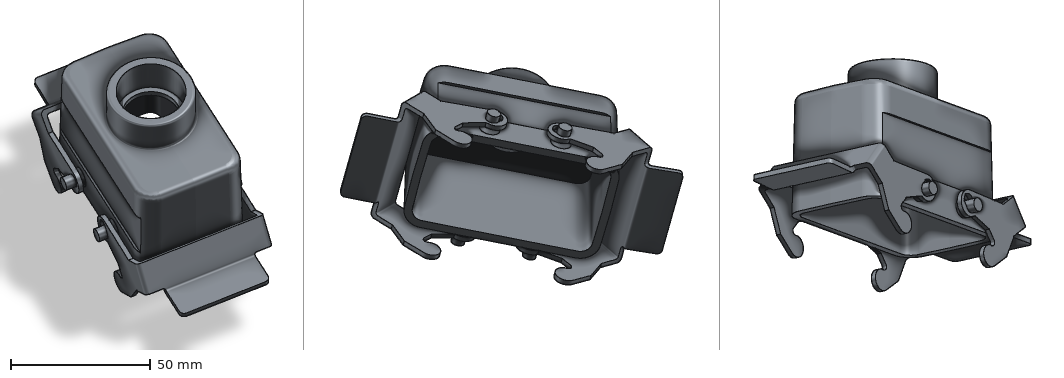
import cadquery as cq
import math


HOOD_HALF_X = 36.4
HOOD_HALF_Y = 21.6
HOOD_HEIGHT = 45.3
DRAFT = 1.0
CORNER_RADIUS = 7.5
ROOF_EDGE_RADIUS = 3.0
WALL = 3.0
ROOF_THICKNESS = 2.4
CAVITY_HEIGHT = HOOD_HEIGHT - ROOF_THICKNESS

LABEL_DEPTH = 1.0
LABEL_BOTTOM = 12.7
LABEL_TOP = 31.7

SPOUT_DIAMETER = 32.0
SPOUT_TOP = 58.5
SPOUT_RIM_RADIUS = 1.2
SPOUT_FOOT_RADIUS = 1.0
BORE_DIAMETER = 25.0
BORE_BOTTOM = 44.9
PASSAGE_DIAMETER = 21.0

PIN_DIAMETER = 5.0
PIN_X = 13.2
PIN_Z = 6.2
PIN_END_Y = 28.6
BOSS_DIAMETER = 7.6
BOSS_END_Y = 23.1

SHEET = 1.9
LEVER_WIDTH = 51.1
LEVER_SHIFT_Y = 0.2
OUTER_BEND_RADIUS = 1.9
INNER_BEND_RADIUS = 1.2
WEB_OUTER_U = 26.9
WEB_TOP_V = -7.1
WEB_BOTTOM_V = -19.2
SLOT_TRAVEL = 2.4
EYE_RADIUS = 5.0
EYE_CENTER = (0, SLOT_TRAVEL / 2)
UPPER_ELBOW = (18.4, WEB_TOP_V)
LOWER_ELBOW = (17.2, WEB_BOTTOM_V)
HEEL = (8.4, -23.7)
THROAT = (5.0, -11.3)
HOOK_CENTER = (-0.2, -19.6)
HOOK_RADIUS = 4.0
NOTCH_DIAMETER = 3.0
NOTCH_RADIUS = NOTCH_DIAMETER / 2
NOTCH_ANGLE = 44.0

HANDLE_WIDTH = 35.8
HANDLE_LENGTH = 12.5
HANDLE_NECK = 1.01
HANDLE_ANGLE = -36.5
HANDLE_CORNER_RADIUS = 2.0
HANDLE_BEND_RADIUS = 1.8
HANDLE_ROOT_RADIUS = 1.0

RIGHT_LEVER_TILT = 36.5
LEFT_LEVER_TILT = 40.0

SELECT_MARGIN = 0.1


def polar(center, radius, angle):
    """Point at a distance and a direction in degrees from a centre."""
    turn = math.radians(angle)
    return (center[0] + radius * math.cos(turn), center[1] + radius * math.sin(turn))


def tangent_point(center, radius, point, side):
    """Point where the line from an outside point touches a circle; side is +1 or -1."""
    du = point[0] - center[0]
    dv = point[1] - center[1]
    direction = math.degrees(math.atan2(dv, du))
    opening = math.degrees(math.acos(radius / math.hypot(du, dv)))
    return polar(center, radius, direction + side * opening)


def drafted_block(half_x, half_y, height, corner_radius, rim_radius=0):
    """Tapered block with a ridged roof and end faces that fall back from the middle plane."""
    slope = math.tan(math.radians(DRAFT))
    corner_x = half_x - half_y * slope
    plan = [
        (half_x, 0), (corner_x, half_y), (-corner_x, half_y),
        (-half_x, 0), (-corner_x, -half_y), (corner_x, -half_y),
    ]
    prism = cq.Workplane("XY").polyline(plan).close().extrude(height, taper=DRAFT)
    half_roof = [(0, 0), (half_y, 0), (half_y, height - half_y * slope), (0, height)]
    roof_profile = cq.Workplane("YZ").polyline(half_roof).close().extrude(half_x, both=True)
    half = prism.intersect(roof_profile)
    half = half.faces(">Y").edges("not |X").fillet(corner_radius)
    if rim_radius:
        half = half.faces(">Z").edges("not <Y").fillet(rim_radius)
    return half.union(half.mirror("XZ"))


def wall_y(z):
    """Half the width of the hood at a height."""
    return HOOD_HALF_Y - z * math.tan(math.radians(DRAFT))


def cut_label_faces(hood):
    profile = [
        (wall_y(LABEL_BOTTOM) - LABEL_DEPTH, LABEL_BOTTOM),
        (HOOD_HALF_Y, LABEL_BOTTOM),
        (HOOD_HALF_Y, LABEL_TOP),
        (wall_y(LABEL_TOP) - LABEL_DEPTH, LABEL_TOP),
    ]
    cutter = cq.Workplane("YZ").polyline(profile).close().extrude(HOOD_HALF_X, both=True)
    return hood.cut(cutter).cut(cutter.mirror("XZ"))


def add_spout(hood):
    spout = (
        cq.Workplane("XY").workplane(offset=CAVITY_HEIGHT)
        .circle(SPOUT_DIAMETER / 2).extrude(SPOUT_TOP - CAVITY_HEIGHT)
        .faces(">Z").edges().fillet(SPOUT_RIM_RADIUS)
    )
    hood = hood.union(spout)
    reach = SPOUT_DIAMETER / 2 + SELECT_MARGIN
    foot_zone = cq.selectors.BoxSelector(
        (-reach, -reach, CAVITY_HEIGHT),
        (reach, reach, HOOD_HEIGHT + SELECT_MARGIN),
        boundingbox=True,
    )
    return hood.edges(foot_zone).fillet(SPOUT_FOOT_RADIUS)


def hollow_out(hood):
    cavity = drafted_block(HOOD_HALF_X - WALL, HOOD_HALF_Y - WALL, CAVITY_HEIGHT, CORNER_RADIUS - WALL)
    passage = cq.Workplane("XY").circle(PASSAGE_DIAMETER / 2).extrude(SPOUT_TOP)
    bore = (
        cq.Workplane("XY").workplane(offset=BORE_BOTTOM)
        .circle(BORE_DIAMETER / 2).extrude(SPOUT_TOP - BORE_BOTTOM)
    )
    return hood.cut(cavity).cut(passage).cut(bore)


def make_pin():
    """Pin with its cone foot, pointing to +Y and rooted in the hood wall."""
    root_y = HOOD_HALF_Y - WALL / 2
    cone_start_y = wall_y(PIN_Z)
    profile = [
        (0, root_y),
        (BOSS_DIAMETER / 2, root_y),
        (BOSS_DIAMETER / 2, cone_start_y),
        (PIN_DIAMETER / 2, BOSS_END_Y),
        (PIN_DIAMETER / 2, PIN_END_Y),
        (0, PIN_END_Y),
    ]
    return cq.Workplane("XY").polyline(profile).close().revolve(360, (0, 0, 0), (0, 1, 0))


def make_hood():
    hood = drafted_block(HOOD_HALF_X, HOOD_HALF_Y, HOOD_HEIGHT, CORNER_RADIUS, ROOF_EDGE_RADIUS)
    hood = cut_label_faces(hood)
    hood = add_spout(hood)
    hood = hollow_out(hood)
    back_pin = make_pin()
    for pin in (back_pin, back_pin.mirror("XZ")):
        for x in (-PIN_X, PIN_X):
            hood = hood.union(pin.translate((x, 0, PIN_Z)))
    return hood


def arm_outline():
    notch_center = polar(HOOK_CENTER, HOOK_RADIUS + NOTCH_RADIUS, NOTCH_ANGLE)
    eye_upper = tangent_point(EYE_CENTER, EYE_RADIUS, UPPER_ELBOW, 1)
    eye_lower = polar(EYE_CENTER, EYE_RADIUS, -90)
    hook_lower = tangent_point(HOOK_CENTER, HOOK_RADIUS, HEEL, -1)
    hook_upper = polar(HOOK_CENTER, HOOK_RADIUS, NOTCH_ANGLE)
    notch_upper = tangent_point(notch_center, NOTCH_RADIUS, THROAT, -1)
    hook_tip = polar(HOOK_CENTER, HOOK_RADIUS, 180)
    notch_floor = polar(notch_center, NOTCH_RADIUS, -60)
    eye_tip = polar(EYE_CENTER, EYE_RADIUS, 180)
    return (
        cq.Workplane("XZ")
        .moveTo(*UPPER_ELBOW)
        .lineTo(WEB_OUTER_U, WEB_TOP_V)
        .lineTo(WEB_OUTER_U, WEB_BOTTOM_V)
        .lineTo(*LOWER_ELBOW)
        .lineTo(*HEEL)
        .lineTo(*hook_lower)
        .threePointArc(hook_tip, hook_upper)
        .threePointArc(notch_floor, notch_upper)
        .lineTo(*THROAT)
        .lineTo(*eye_lower)
        .threePointArc(eye_tip, eye_upper)
        .close()
    )


def make_bail():
    """Two arms joined by the web: a block in the arm outline, hollowed between the arms."""
    bail = arm_outline().extrude(LEVER_WIDTH / 2, both=True)
    bail = bail.faces(">X").edges("|Z").fillet(OUTER_BEND_RADIUS)
    web_inner_u = WEB_OUTER_U - SHEET
    gap_size = 3 * WEB_OUTER_U
    gap = (
        cq.Workplane("XY").box(gap_size, LEVER_WIDTH - 2 * SHEET, gap_size)
        .faces(">X").edges("|Z").fillet(INNER_BEND_RADIUS)
        .translate((web_inner_u - gap_size / 2, 0, 0))
    )
    return bail.cut(gap)


def make_handle():
    neck_end = (WEB_OUTER_U, WEB_BOTTOM_V - HANDLE_NECK)
    bend = 90 + HANDLE_ANGLE
    under_neck = HANDLE_NECK + SHEET * math.tan(math.radians(bend / 2))
    tip = polar(neck_end, HANDLE_LENGTH, HANDLE_ANGLE)
    under_bend = (WEB_OUTER_U - SHEET, WEB_BOTTOM_V - under_neck)
    handle = (
        cq.Workplane("XZ")
        .moveTo(WEB_OUTER_U, WEB_BOTTOM_V)
        .lineTo(*neck_end)
        .lineTo(*tip)
        .lineTo(*polar(tip, SHEET, HANDLE_ANGLE - 90))
        .lineTo(*under_bend)
        .lineTo(WEB_OUTER_U - SHEET, WEB_BOTTOM_V)
        .close()
        .extrude(HANDLE_WIDTH / 2, both=True)
    )
    handle = handle.faces(">X").edges("not |Y").fillet(HANDLE_CORNER_RADIUS)
    concave_bend = cq.selectors.NearestToPointSelector((neck_end[0], 0, neck_end[1]))
    convex_bend = cq.selectors.NearestToPointSelector((under_bend[0], 0, under_bend[1]))
    handle = handle.edges(convex_bend).fillet(HANDLE_BEND_RADIUS)
    return handle.edges(concave_bend).fillet(HANDLE_BEND_RADIUS)


def make_lever():
    lever = make_bail().union(make_handle())
    for side in (-1, 1):
        root = (WEB_OUTER_U - SHEET / 2, side * HANDLE_WIDTH / 2, WEB_BOTTOM_V)
        lever = lever.edges(cq.selectors.NearestToPointSelector(root)).fillet(HANDLE_ROOT_RADIUS)
    slot = (
        cq.Workplane("XZ").center(*EYE_CENTER)
        .slot2D(SLOT_TRAVEL + PIN_DIAMETER, PIN_DIAMETER, 90)
        .extrude(LEVER_WIDTH, both=True)
    )
    return lever.cut(slot)


def place_lever(tilt):
    """Lever hung on the +X pins, with its outer end lifted by the tilt."""
    lever = make_lever().rotate((0, 0, 0), (0, 1, 0), -tilt)
    return lever.translate((PIN_X, LEVER_SHIFT_Y, PIN_Z))


hood = make_hood()
right_lever = place_lever(RIGHT_LEVER_TILT)
left_lever = place_lever(LEFT_LEVER_TILT).mirror("YZ")
result = cq.Compound.makeCompound([hood.val(), right_lever.val(), left_lever.val()])